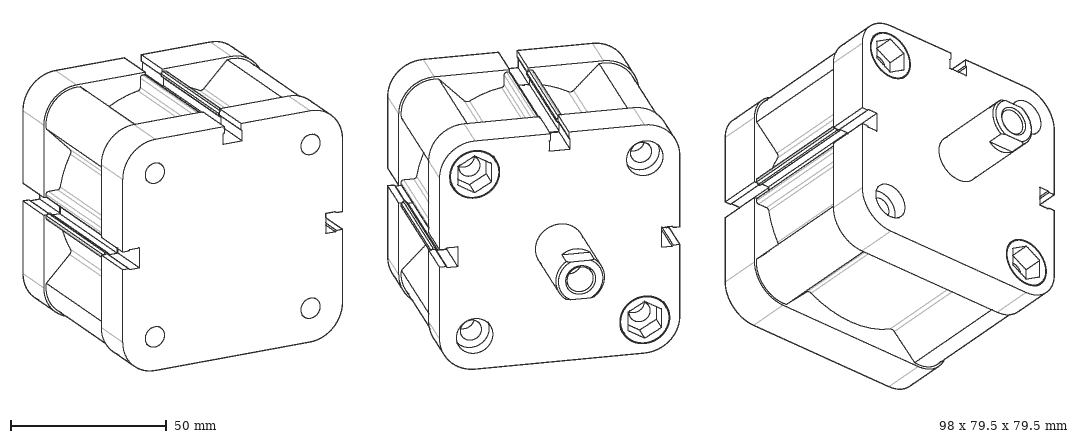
import cadquery as cq
import math


total_length = 98.0
rod_projection = 28.1
front_cap_length = 14.7
barrel_length = 40.2
barrel_start = rod_projection + front_cap_length
barrel_end = barrel_start + barrel_length
rear_cap_length = total_length - barrel_end

cap_side = 79.5
cap_half = cap_side / 2
cap_corner_radius = 11.8
corner_center = cap_half - cap_corner_radius

hole_spacing = 56.3
hole_offset = hole_spacing / 2
through_hole_diameter = 7.0
counterbore_diameter = 12.1
counterbore_depth = 5.0
hex_across_flats = 11.1
hex_depth = 7.0
ring_outer_diameter = 16.6
ring_inner_diameter = 16.0
ring_depth = 2.9

slot_half_width = 3.4
cap_slot_mouth_half = 3.0
cap_slot_floor = 33.7
barrel_slot_mouth_half = 2.5
barrel_slot_mouth_chamfer = 0.7
barrel_slot_floor = 34.0
slot_lip_bottom = 37.5
slot_angles = (0, 90, -90)

barrel_inset = 0.8
barrel_half = cap_half - barrel_inset
tube_radius = 34.3
lobe_radius = barrel_half - corner_center
lobe_half_width = 8.7
lobe_root_fillet = 1.5
rib_half_width = 4.9
rib_root_fillet = 1.0
rib_edge_fillet = 0.9
edge_tolerance = 0.01

rod_diameter = 16.1
rod_radius = rod_diameter / 2
rod_tip_chamfer = 0.7
flat_half_height = 6.6
flat_length = 6.5
flat_end_slant = 0.4
thread_hole_diameter = 8.6
thread_mouth_diameter = 9.9
thread_hole_depth = 15.7
drill_tip_half_angle = math.radians(59)


def section_plane(x):
    """Plane across the cylinder axis: local X is +Y, local Y is +Z, extrusion goes towards +X."""
    return cq.Workplane("YZ", origin=(x, 0, 0))


def sensor_slot(x, length, mouth_half, floor):
    """Cutter for an undercut slot that opens at the +Z side."""
    lip_slope = slot_half_width - mouth_half
    right_side = [
        (slot_half_width, floor),
        (slot_half_width, slot_lip_bottom - lip_slope),
        (mouth_half, slot_lip_bottom),
        (mouth_half, cap_half),
    ]
    left_side = [(-y, z) for y, z in reversed(right_side)]
    return section_plane(x).polyline(right_side + left_side).close().extrude(length)


def cut_slots(body, slot):
    """Cut the slot into the +Z, -Y and +Y sides."""
    for angle in slot_angles:
        body = body.cut(slot.rotate((0, 0, 0), (1, 0, 0), angle))
    return body


def through_holes(x, length):
    """Cutter for the four corner holes."""
    holes = section_plane(x).rect(hole_spacing, hole_spacing, forConstruction=True).vertices()
    return holes.circle(through_hole_diameter / 2).extrude(length)


def make_cap(x, length):
    """Square cap with rounded corners, three sensor slots and four corner holes."""
    cap = section_plane(x).rect(cap_side, cap_side).extrude(length)
    cap = cap.edges("|X").fillet(cap_corner_radius)
    cap = cut_slots(cap, sensor_slot(x, length, cap_slot_mouth_half, cap_slot_floor))
    return cap.cut(through_holes(x, length))


def make_front_cap():
    """Cap with hexagon sockets and counterbores on its outer face, bored for the rod."""
    face = section_plane(rod_projection)
    socket_places = [(hole_offset, hole_offset), (-hole_offset, -hole_offset)]
    counterbore_places = [(hole_offset, -hole_offset), (-hole_offset, hole_offset)]

    hexagon_diameter = hex_across_flats / math.cos(math.pi / 6)
    hexagon = cq.Sketch().regularPolygon(hexagon_diameter / 2, 6)
    sockets = face.pushPoints(socket_places).placeSketch(hexagon).extrude(hex_depth)
    ring_outers = face.pushPoints(socket_places).circle(ring_outer_diameter / 2).extrude(ring_depth)
    ring_inners = face.pushPoints(socket_places).circle(ring_inner_diameter / 2).extrude(ring_depth)
    counterbores = (
        face.pushPoints(counterbore_places).circle(counterbore_diameter / 2).extrude(counterbore_depth)
    )
    rod_bore = face.circle(rod_radius).extrude(front_cap_length)

    cap = make_cap(rod_projection, front_cap_length)
    return cap.cut(sockets).cut(ring_outers.cut(ring_inners)).cut(counterbores).cut(rod_bore)


def corner_lobe():
    """Round-ended lobe that runs from the axis towards the +Y +Z corner."""
    lobe_reach = corner_center * math.sqrt(2)
    arc_start = lobe_reach + math.sqrt(lobe_radius**2 - lobe_half_width**2)
    lobe = (
        section_plane(barrel_start)
        .moveTo(0, -lobe_half_width)
        .lineTo(arc_start, -lobe_half_width)
        .threePointArc((lobe_reach + lobe_radius, 0), (arc_start, lobe_half_width))
        .lineTo(0, lobe_half_width)
        .close()
        .extrude(barrel_length)
    )
    return lobe.rotate((0, 0, 0), (1, 0, 0), 45)


def slot_rib():
    """Rib with rounded outer edges that carries the +Z sensor slot."""
    rib = (
        section_plane(barrel_start)
        .center(0, barrel_half / 2)
        .rect(2 * rib_half_width, barrel_half)
        .extrude(barrel_length)
    )
    return rib.edges("|X and >Z").fillet(rib_edge_fillet)


def on_tube_surface(edge):
    """Tell whether an edge lies on the outside of the tube."""
    center = edge.Center()
    return abs(math.hypot(center.y, center.z) - tube_radius) < edge_tolerance


def is_rib_root(edge):
    """Tell whether an edge is where the side of a rib meets the tube."""
    center = edge.Center()
    side_distance = min(abs(center.y), abs(center.z))
    return on_tube_surface(edge) and abs(side_distance - rib_half_width) < edge_tolerance


def chamfered_barrel_slot():
    """Barrel slot cutter whose mouth widens outwards."""
    slot = sensor_slot(barrel_start, barrel_length, barrel_slot_mouth_half, barrel_slot_floor)
    mouth_bottom = barrel_half - barrel_slot_mouth_chamfer
    wide_half = barrel_slot_mouth_half + barrel_slot_mouth_chamfer
    mouth = (
        section_plane(barrel_start)
        .polyline(
            [
                (-barrel_slot_mouth_half, mouth_bottom),
                (barrel_slot_mouth_half, mouth_bottom),
                (wide_half, barrel_half),
                (-wide_half, barrel_half),
            ]
        )
        .close()
        .extrude(barrel_length)
    )
    return slot.union(mouth)


def make_barrel():
    """Round tube body with four corner lobes and a slotted rib on three sides."""
    barrel = section_plane(barrel_start).circle(tube_radius).extrude(barrel_length)
    lobe = corner_lobe()
    for quarter in range(4):
        barrel = barrel.union(lobe.rotate((0, 0, 0), (1, 0, 0), 90 * quarter))
    barrel = barrel.edges("|X").filter(on_tube_surface).fillet(lobe_root_fillet)
    rib = slot_rib()
    for angle in slot_angles:
        barrel = barrel.union(rib.rotate((0, 0, 0), (1, 0, 0), angle))
    barrel = barrel.edges("|X").filter(is_rib_root).fillet(rib_root_fillet)
    barrel = cut_slots(barrel, chamfered_barrel_slot())
    return barrel.cut(through_holes(barrel_start, barrel_length))


def make_rod():
    """Rod with two wrench flats and a threaded hole in its tip."""
    rod = section_plane(0).circle(rod_radius).extrude(barrel_start)
    rod = rod.faces("<X").chamfer(rod_tip_chamfer)

    flat = (
        cq.Workplane("XZ")
        .polyline(
            [
                (0, flat_half_height),
                (flat_length, flat_half_height),
                (flat_length + flat_end_slant, rod_radius),
                (0, rod_radius),
            ]
        )
        .close()
        .extrude(rod_radius, both=True)
    )
    rod = rod.cut(flat).cut(flat.mirror("XY"))

    hole_radius = thread_hole_diameter / 2
    mouth_radius = thread_mouth_diameter / 2
    hole = (
        cq.Workplane("XZ")
        .polyline(
            [
                (0, 0),
                (0, mouth_radius),
                (mouth_radius - hole_radius, hole_radius),
                (thread_hole_depth, hole_radius),
                (thread_hole_depth + hole_radius / math.tan(drill_tip_half_angle), 0),
            ]
        )
        .close()
        .revolve(360, (0, 0, 0), (1, 0, 0))
    )
    return rod.cut(hole)


front_cap = make_front_cap()
barrel = make_barrel()
rear_cap = make_cap(barrel_end, rear_cap_length)
rod = make_rod()

result = cq.Compound.makeCompound([front_cap.val(), barrel.val(), rear_cap.val(), rod.val()])